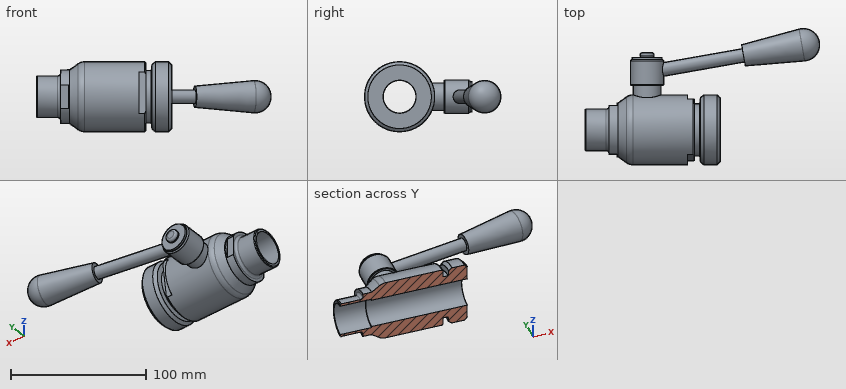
import cadquery as cq
import math

body_radius = 25.97
bore_diameter = 24.1
pipe_bore_diameter = 26.0
pipe_radius = 15.5
pipe_chamfer = 0.7
collar_radius = 20.0
collar_start = 17.9
collar_end = 24.7
collar_fillet = 2.0
cone_angle = math.radians(36)
shoulder_end = 35.6
shoulder_arc_radius = 8.0
body_end = 81.1
body_chamfer = 1.0
neck_radius = 19.5

nut_start = 85.0
nut_chamfer_start = 85.5
nut_end = 100.2
nut_face_radius = 23.8
nut_chamfer_length = 2.6
nut_end_chamfer = 2.5

collar_flat_offset = 18.0
collar_flat_end = 23.6
body_flat_offset = 20.8
body_flat_start = 76.1
body_flat_angle = 8.5

stem_x = 46.0
stem_radius = 10.34
hub_radius = 12.42
hub_bottom = 33.0
hub_top = 52.1
hub_chamfer_height = 1.2
hub_chamfer_width = 0.9
hub_bottom_chamfer = 0.5
cap_radius = 11.1
cap_top = 53.7
button_base_radius = 5.0
button_radius = 5.2
button_edge = 54.5
button_widest = 55.2
button_top = 57.2
button_top_radius = 3.04

lever_angle = 10.0
lever_base_y = 42.5
rod_diameter = 10.0
grip_radius = 12.07
grip_start_radius = 8.0
grip_length = 45.0
overall_length = 173.7


def make_body():
    """Pipe end, collar, cone shoulder, barrel, neck and union nut as one turned shape."""
    arc_center_radius = body_radius - shoulder_arc_radius
    cone_end = (
        shoulder_end - shoulder_arc_radius * math.sin(cone_angle),
        arc_center_radius + shoulder_arc_radius * math.cos(cone_angle),
    )
    shoulder_mid = (
        shoulder_end - shoulder_arc_radius * math.sin(cone_angle / 2),
        arc_center_radius + shoulder_arc_radius * math.cos(cone_angle / 2),
    )
    fillet_mid = (
        collar_start - collar_fillet + collar_fillet * math.sin(math.pi / 4),
        pipe_radius + collar_fillet * (1 - math.cos(math.pi / 4)),
    )
    profile = (
        cq.Workplane("XY")
        .lineTo(0, pipe_radius - pipe_chamfer)
        .lineTo(pipe_chamfer, pipe_radius)
        .lineTo(collar_start - collar_fillet, pipe_radius)
        .threePointArc(fillet_mid, (collar_start, pipe_radius + collar_fillet))
        .lineTo(collar_start, collar_radius)
        .lineTo(collar_end, collar_radius)
        .lineTo(*cone_end)
        .threePointArc(shoulder_mid, (shoulder_end, body_radius))
        .lineTo(body_end - body_chamfer, body_radius)
        .lineTo(body_end, body_radius - body_chamfer)
        .lineTo(body_end, neck_radius)
        .lineTo(nut_start, neck_radius)
        .lineTo(nut_chamfer_start, nut_face_radius)
        .lineTo(nut_chamfer_start + nut_chamfer_length, body_radius)
        .lineTo(nut_end - nut_end_chamfer, body_radius)
        .lineTo(nut_end, body_radius - nut_end_chamfer)
        .lineTo(nut_end, 0)
        .close()
    )
    return profile.revolve(360, (0, 0, 0), (1, 0, 0))


def flat_cutters(start, end, offset, angle):
    """Two blocks that cut a pair of parallel flats, turned about X by the angle."""
    size = 2 * body_radius
    cutters = cq.Workplane("XY")
    for side in (-1, 1):
        block = cq.Workplane("XY").box(end - start, size, size)
        cutters = cutters.add(
            block.translate(((start + end) / 2, side * (offset + size / 2), 0))
        )
    return cutters.combine().rotate((0, 0, 0), (1, 0, 0), angle)


def make_stem():
    """Stem, hub, cap and domed button as one turned shape."""
    profile = (
        cq.Workplane("XY")
        .lineTo(stem_radius, 0)
        .lineTo(stem_radius, hub_bottom)
        .lineTo(hub_radius - hub_bottom_chamfer, hub_bottom)
        .lineTo(hub_radius, hub_bottom + hub_bottom_chamfer)
        .lineTo(hub_radius, hub_top - hub_chamfer_height)
        .lineTo(hub_radius - hub_chamfer_width, hub_top)
        .lineTo(cap_radius, hub_top)
        .lineTo(cap_radius, cap_top)
        .lineTo(button_base_radius, cap_top)
        .lineTo(button_base_radius, button_edge)
        .threePointArc((button_radius, button_widest), (button_top_radius, button_top))
        .lineTo(0, button_top)
        .close()
    )
    return profile.revolve(360, (0, 0, 0), (0, 1, 0)).translate((stem_x, 0, 0))


def make_lever():
    """Rod and tapered grip that runs tangent into a ball end, tilted away from the body."""
    tilt = math.radians(lever_angle)
    ball_x = (overall_length - grip_radius - stem_x) / math.cos(tilt)
    grip_start = ball_x - grip_length
    start_to_ball = math.hypot(grip_start_radius, grip_length)
    taper = math.asin(grip_radius / start_to_ball) - math.atan2(grip_start_radius, grip_length)
    tangent_point = (ball_x - grip_radius * math.sin(taper), grip_radius * math.cos(taper))
    diagonal = grip_radius * math.sin(math.pi / 4)
    profile = (
        cq.Workplane("XY")
        .lineTo(0, rod_diameter / 2)
        .lineTo(grip_start, rod_diameter / 2)
        .lineTo(grip_start, grip_start_radius)
        .lineTo(*tangent_point)
        .threePointArc((ball_x + diagonal, diagonal), (ball_x + grip_radius, 0))
        .close()
    )
    lever = profile.revolve(360, (0, 0, 0), (1, 0, 0))
    return lever.rotate((0, 0, 0), (0, 0, 1), lever_angle).translate((stem_x, lever_base_y, 0))


body = make_body()
body = body.cut(flat_cutters(collar_start, collar_flat_end, collar_flat_offset, 0))
body = body.cut(flat_cutters(body_flat_start, body_end, body_flat_offset, -body_flat_angle))

bore = cq.Workplane("YZ").circle(bore_diameter / 2).extrude(nut_end)
pipe_bore = cq.Workplane("YZ").circle(pipe_bore_diameter / 2).extrude(collar_end)

result = body.union(make_stem()).union(make_lever()).cut(bore).cut(pipe_bore)